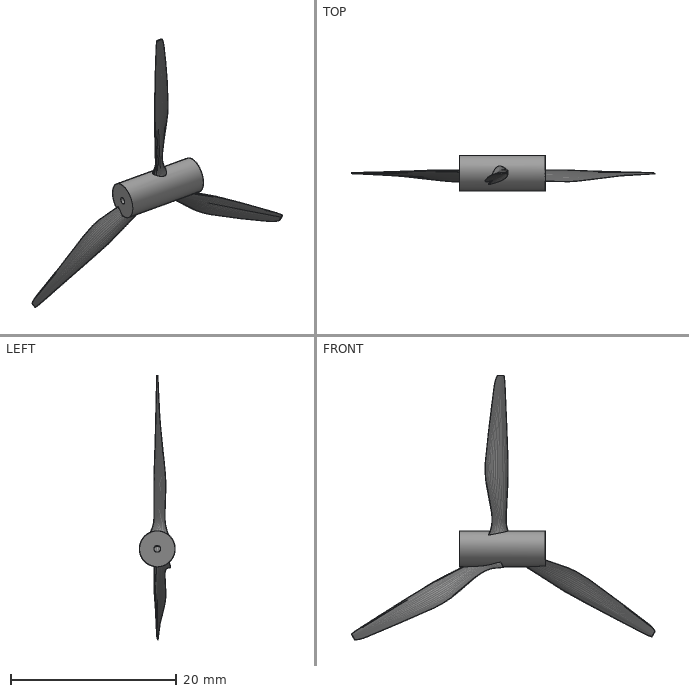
import cadquery as cq
import math

hub_length = 10.4
hub_diameter = 4.35
bore_diameter = 0.8

blade_count = 3
pivot_fraction = 0.25
camber_share = 0.1
facets_per_side = 20

thickness_root_factor = 1.4845
thickness_power_factors = (-0.63, -1.758, 1.4215, -0.518)

blade_stations = [
    (1.0, 3.45, 39.0, 2.2),
    (2.02, 2.65, 39.0, 1.75),
    (2.95, 2.2, 38.0, 0.9),
    (4.78, 2.25, 35.0, 0.62),
    (6.6, 2.7, 31.0, 0.55),
    (8.1, 3.0, 27.5, 0.5),
    (9.2, 3.1, 25.0, 0.48),
    (10.65, 2.98, 22.0, 0.45),
    (12.5, 2.65, 18.5, 0.35),
    (14.5, 2.28, 14.5, 0.33),
    (16.55, 1.9, 11.0, 0.25),
    (19.65, 1.35, 8.0, 0.2),
    (20.5, 1.1, 7.0, 0.15),
    (21.0, 0.8, 7.0, 0.15),
]


def surface_point(strip, side, thickness_ratio):
    """Chord fraction and height (in chords) of a strip edge, on the upper (1) or lower (-1) face."""
    fraction = (1 - math.cos(math.pi * strip / facets_per_side)) / 2
    half_thickness = thickness_root_factor * math.sqrt(fraction)
    for power, factor in enumerate(thickness_power_factors, start=1):
        half_thickness += factor * fraction ** power
    mean_line = 4 * camber_share * fraction * (1 - fraction)
    return fraction, thickness_ratio * (mean_line + side * half_thickness)


def blade_section(radius, chord, pitch, thickness):
    """Airfoil outline at one radius of the upright blade, leading edge towards +X."""
    cos_pitch = math.cos(math.radians(pitch))
    sin_pitch = math.sin(math.radians(pitch))

    def place(chord_fraction, height):
        along = (pivot_fraction - chord_fraction) * chord
        rise = height * chord
        return cq.Vector(
            along * cos_pitch - rise * sin_pitch,
            along * sin_pitch + rise * cos_pitch,
            radius,
        )

    strips = range(facets_per_side + 1)
    upper = [place(*surface_point(strip, 1, thickness / chord)) for strip in strips]
    lower = [place(*surface_point(strip, -1, thickness / chord)) for strip in strips[1:-1]]
    return cq.Wire.makePolygon(upper + lower[::-1], close=True)


def make_hub():
    """Cylinder along X, centred on the origin, with its bore."""
    return (
        cq.Workplane("YZ")
        .circle(hub_diameter / 2)
        .circle(bore_diameter / 2)
        .extrude(hub_length / 2, both=True)
    )


def make_blade():
    """Upright blade lofted through its sections."""
    sections = [blade_section(*station) for station in blade_stations]
    return cq.Workplane(cq.Solid.makeLoft(sections))


blade = make_blade()
result = make_hub()
for index in range(blade_count):
    turn = index * 360 / blade_count
    result = result.union(blade.rotate((0, 0, 0), (0, 1, 0), turn))